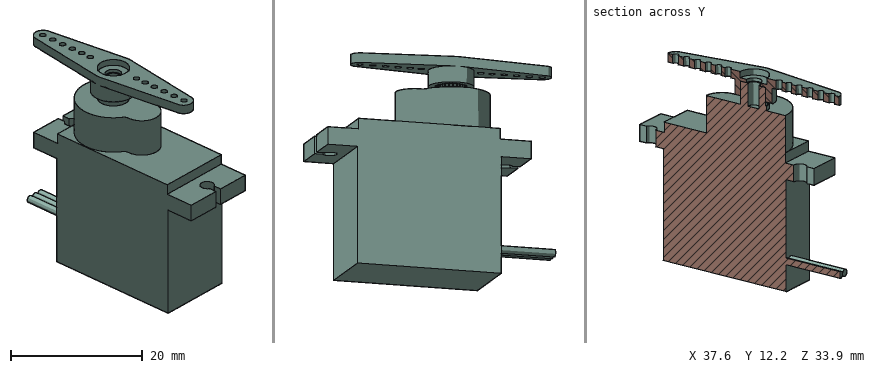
import cadquery as cq
import math


case_center_x = 5.35
case_width = 12.18
lower_length = 22.85
upper_length = 22.5
flange_length = 32.33
flange_bottom = 18.15
flange_thickness = 2.75
flange_top = flange_bottom + flange_thickness
case_top = 22.55

screw_hole_diameter = 2.18
screw_hole_inset = 2.25
screw_slot_width = 1.0

tower_height = 6.05
tower_top = case_top + tower_height
tower_diameter = 11.9
lobe_center_x = 5.83
lobe_radius = 2.95
lobe_fillet = 0.9

collar_diameter = 4.9
collar_height = 0.8
spline_start = tower_top + collar_height
spline_tip_radius = collar_diameter / 2
spline_root_radius = 2.25
tooth_count = 25
tooth_pitch = 360 / tooth_count
tip_fraction = 0.5
root_fraction = 0.2
shaft_bore_diameter = 2.0
shaft_bore_depth = 3.75

wire_diameter = 1.15
wire_pitch = 1.15
wire_length = 10.0
wire_height = 4.92
wire_rows = (-1, 0, 1)

horn_clearance = 1.3
hub_drop = 2.48
arm_thickness = 1.5
horn_bottom = tower_top + horn_clearance
arm_bottom = horn_bottom + hub_drop
horn_top = arm_bottom + arm_thickness
hub_diameter = 7.0
arm_reach = 15.9
arm_tip_radius = 1.5
arm_tip_center = arm_reach - arm_tip_radius
head_recess_diameter = 4.9
head_recess_depth = 1.0
horn_screw_diameter = 2.5
socket_roof = 0.53
socket_top = horn_top - head_recess_depth - socket_roof
link_hole_diameter = 0.98
link_hole_offsets = (4.75, 6.5, 8.42, 10.4, 12.45, 14.47)


def centered_block(length, bottom, top):
    """Block of the case width, centered on the case, from one height to another."""
    return (
        cq.Workplane("XY", origin=(case_center_x, 0, bottom))
        .box(length, case_width, top - bottom, centered=(True, True, False))
    )


def cylinder(diameter, bottom, top, x=0.0):
    """Vertical cylinder with its axis in the plane y = 0."""
    return cq.Workplane("XY", origin=(x, 0, bottom)).circle(diameter / 2).extrude(top - bottom)


def polar(radius, angle):
    """Point at a radius and an angle in degrees."""
    return (radius * math.cos(math.radians(angle)), radius * math.sin(math.radians(angle)))


def flange_cutout(side):
    """Screw hole with a slot opening to the flange end; side is -1 or +1 along X."""
    hole_x = case_center_x + side * (flange_length / 2 - screw_hole_inset)
    hole = cylinder(screw_hole_diameter, flange_bottom, flange_top, hole_x)
    slot = (
        cq.Workplane("XY", origin=(hole_x + side * screw_hole_inset / 2, 0, flange_bottom))
        .box(screw_hole_inset, screw_slot_width, flange_thickness, centered=(True, True, False))
    )
    return hole.union(slot)


def gear_tower():
    """Round tower with a smaller lobe on its +X side, blended by concave fillets."""
    tower = cylinder(tower_diameter, case_top, tower_top)
    lobe = cylinder(2 * lobe_radius, case_top, tower_top, lobe_center_x)
    tower = tower.union(lobe)
    tower_radius = tower_diameter / 2
    cross_x = (lobe_center_x**2 + tower_radius**2 - lobe_radius**2) / (2 * lobe_center_x)
    cross_y = math.sqrt(tower_radius**2 - cross_x**2)
    middle = (case_top + tower_top) / 2
    for y in (-cross_y, cross_y):
        edge = tower.edges(cq.selectors.NearestToPointSelector((cross_x, y, middle)))
        tower = edge.fillet(lobe_fillet)
    return tower


def splined_core():
    """Toothed upper part of the output shaft, also the shape of the socket in the horn."""
    half_tip = tooth_pitch * tip_fraction / 2
    half_root = tooth_pitch * root_fraction / 2
    points = []
    for tooth in range(tooth_count):
        middle = tooth * tooth_pitch
        points.append(polar(spline_root_radius, middle - tooth_pitch / 2 + half_root))
        points.append(polar(spline_tip_radius, middle - half_tip))
        points.append(polar(spline_tip_radius, middle + half_tip))
        points.append(polar(spline_root_radius, middle + tooth_pitch / 2 - half_root))
    return (
        cq.Workplane("XY", origin=(0, 0, spline_start))
        .polyline(points)
        .close()
        .extrude(socket_top - spline_start)
    )


def wire(row):
    """One wire leaving the -X face of the case."""
    wall_x = case_center_x - lower_length / 2
    return (
        cq.Workplane("YZ", origin=(wall_x - wire_length, row * wire_pitch, wire_height))
        .circle(wire_diameter / 2)
        .extrude(wire_length)
    )


def make_servo():
    """Case, gear tower, output shaft and wires as one solid."""
    servo = centered_block(lower_length, 0, flange_bottom)
    servo = servo.union(centered_block(flange_length, flange_bottom, flange_top))
    servo = servo.union(centered_block(upper_length, flange_top, case_top))
    for side in (-1, 1):
        servo = servo.cut(flange_cutout(side))
    servo = servo.union(gear_tower())
    servo = servo.union(cylinder(collar_diameter, tower_top, spline_start))
    servo = servo.union(splined_core())
    servo = servo.cut(cylinder(shaft_bore_diameter, socket_top - shaft_bore_depth, socket_top))
    for row in wire_rows:
        servo = servo.union(wire(row))
    return servo


def horn_arms():
    """Plate tapering to a semicircular tip on each side, its straight edges tangent to the hub circle."""
    hub_radius = hub_diameter / 2
    tip_x = arm_tip_center
    tip_y = arm_tip_radius
    tip_direction = math.atan2(tip_y, tip_x)
    tangent_offset = math.acos(hub_radius / math.hypot(tip_x, tip_y))
    hub_x, hub_y = polar(hub_radius, math.degrees(tip_direction + tangent_offset))
    return (
        cq.Workplane("XY", origin=(0, 0, arm_bottom))
        .moveTo(hub_x, hub_y)
        .lineTo(tip_x, tip_y)
        .threePointArc((arm_reach, 0), (tip_x, -tip_y))
        .lineTo(hub_x, -hub_y)
        .lineTo(-hub_x, -hub_y)
        .lineTo(-tip_x, -tip_y)
        .threePointArc((-arm_reach, 0), (-tip_x, tip_y))
        .lineTo(-hub_x, hub_y)
        .close()
        .extrude(arm_thickness)
    )


def make_horn():
    """Hub and arms with the screw recess, the splined socket and the link holes."""
    horn = horn_arms().union(cylinder(hub_diameter, horn_bottom, horn_top))
    horn = horn.cut(cylinder(head_recess_diameter, horn_top - head_recess_depth, horn_top))
    horn = horn.cut(cylinder(horn_screw_diameter, socket_top, horn_top))
    horn = horn.cut(splined_core())
    for offset in link_hole_offsets:
        for side in (-1, 1):
            horn = horn.cut(cylinder(link_hole_diameter, arm_bottom, horn_top, side * offset))
    return horn


servo = make_servo()
horn = make_horn()

result = cq.Compound.makeCompound([servo.solids().val(), horn.solids().val()])